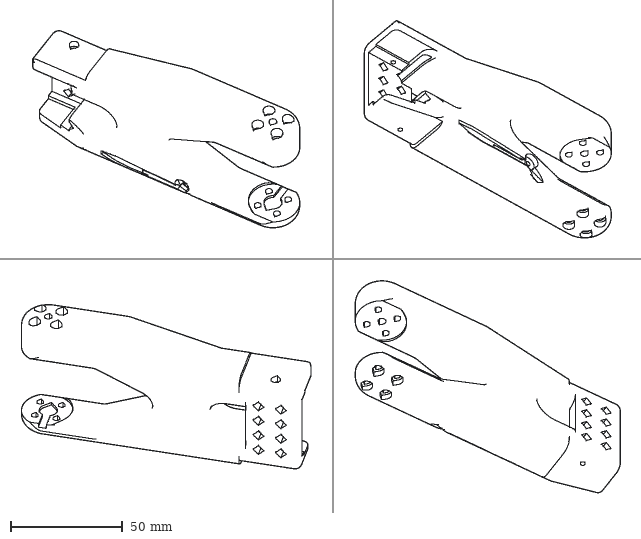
import cadquery as cq
import math

LENGTH = 130.7
WIDTH = 24.0
HEIGHT = 60.0
HALF_WIDTH = WIDTH / 2
EDGE_RADIUS = 5.0
NOSE_X = LENGTH - HALF_WIDTH
OVERSIZE = 2 * LENGTH

ROOF_LOW_Z = 50.0
ROOF_LOW_X = 34.2
ROOF_HIGH_X = 76.5
ROOF_FOLD_ANGLE = 43.2
ROOF_FOLD_RADIUS = 3.9

CLAMP_LENGTH = 28.0
CLAMP_BOTTOM_Z = 2.0
CLAMP_TOP_Z = 48.0
CLAMP_END_RADIUS = 2.9
CAVITY_DEPTH = 19.0
CAVITY_FLOOR_Z = 8.6
CAVITY_CEILING_Z = 41.7
PLATE_INNER_Y = HALF_WIDTH - EDGE_RADIUS
PLATE_LENGTH = 24.8
CEILING_STEP = 1.2
CEILING_STEP_Y = 1.8
FLOOR_POCKET_DEPTH = 2.0
FLOOR_POCKET_LENGTH = 13.9
FLOOR_POCKET_Y = 3.9
SIDE_BEVEL = 6.5

MID_Z = 25.0

SLOT_RADIUS = 8.0
SLOT_END_X = 34.8

FORK_RADIUS = 7.6
FORK_CENTER_X = 76.3
FORK_ANGLE = 24.0
FORK_CORNER_RADIUS = 5.0
UPPER_ARM_Z = 41.5
LOWER_ARM_Z = 8.2

SEAT_RADIUS = 11.0
SEAT_DEPTH = 1.3
SCREW_PITCH = 9.9
SCREW_RADIUS = 3.0 / 2
SCREW_HEAD_RADIUS = 2.6
UPPER_HEAD_DEPTH = 5.2
LOWER_HEAD_DEPTH = 3.1
AXIS_HOLE_RADIUS = 1.7
HUB_RADIUS = 4.0
HUB_DEPTH = 1.3
HUB_CHANNEL_WIDTH = 3.5

DIAMOND_HALF = 2.5
DIAMOND_PITCH = 8.2
DIAMOND_FIRST_Z = 12.2
DIAMOND_ROWS = 4
DIAMOND_COLUMNS = (8.6, CAVITY_DEPTH)

CLAMP_SCREW_X = 12.7
CLAMP_SCREW_Y = 5.1
CLAMP_SCREW_RADIUS = 1.0
CLAMP_HEAD_RADIUS = 2.1
CLAMP_HEAD_DEPTH = 3.3
FLOOR_HOLE_X = 16.7

DISC_X = 78.5
DISC_Z = 6.9
DISC_RADIUS = 3.5
DISC_DEPTH = 2.6
PIN_RADIUS = 1.0
PIN_DEPTH = 5.2
GROOVE_DEPTH = 1.0
GROOVE_FLANK_ANGLE = 32.0
GROOVE_OUTLINE = [(36.7, 7.2), (45.1, 7.8), (74.5, 5.8), (74.5, 3.0), (51.0, 2.4), (43.1, 3.1), (36.7, 5.2)]
CHANNEL_HALF_WIDTH = 1.3
CHANNEL_START = (57.5, 4.2)
CHANNEL_BEND = (76.6, 4.2)
CHANNEL_OUTLET = (87.0, -0.8)
CHANNEL_DEPTH = 2.0
OUTLET_DEPTH = 3.9


def box(x0, x1, y0, y1, z0, z1):
    """Axis-aligned box between two corners."""
    return cq.Workplane("XY").box(x1 - x0, y1 - y0, z1 - z0, centered=False).translate((x0, y0, z0))


def front_prism(points, y0, y1):
    """Polygon of (x, z) points, extruded from y0 to y1."""
    return cq.Workplane("XZ", origin=(0, y1, 0)).polyline(points).close().extrude(y1 - y0)


def teardrop(x, y, radius, z0, z1):
    """Vertical hole with a 45 degree point toward -Y."""
    flank = radius / math.sqrt(2)
    return (
        cq.Workplane("XY", origin=(x, y, z0))
        .moveTo(-flank, -flank)
        .threePointArc((0, radius), (flank, -flank))
        .lineTo(0, -2 * flank)
        .close()
        .extrude(z1 - z0)
    )


def cylinder(x, y, radius, z0, z1):
    """Vertical cylinder."""
    return cq.Workplane("XY", origin=(x, y, z0)).circle(radius).extrude(z1 - z0)


def outer_shell():
    """Long body with a round nose, a skewed sloping roof and rounded long edges."""
    body = (
        cq.Workplane("XY")
        .moveTo(0, -HALF_WIDTH)
        .lineTo(NOSE_X, -HALF_WIDTH)
        .threePointArc((LENGTH, 0), (NOSE_X, HALF_WIDTH))
        .lineTo(0, HALF_WIDTH)
        .close()
        .extrude(HEIGHT)
    )
    angle = math.radians(ROOF_FOLD_ANGLE)
    across_folds = (math.cos(angle), math.sin(angle), 0)
    along_folds = (math.sin(angle), -math.cos(angle), 0)
    fold_plane = cq.Plane(origin=(0, 0, 0), xDir=across_folds, normal=along_folds)
    fold_low = ROOF_LOW_X * math.cos(angle)
    fold_high = ROOF_HIGH_X * math.cos(angle)
    roof_void = (
        cq.Workplane(fold_plane)
        .polyline([
            (-LENGTH, ROOF_LOW_Z),
            (fold_low, ROOF_LOW_Z),
            (fold_high, HEIGHT),
            (-LENGTH, HEIGHT),
        ])
        .close()
        .extrude(LENGTH, both=True)
    )
    body = body.cut(roof_void)
    body = body.faces("<Y or >Y").edges("not |Z").fillet(EDGE_RADIUS)
    high_fold = cq.selectors.NearestToPointSelector((ROOF_HIGH_X, 0, HEIGHT))
    return body.edges(high_fold).fillet(ROOF_FOLD_RADIUS)


def bevel():
    """Wedge cut from the front of the clamp below mid height."""
    return (
        cq.Workplane("XY")
        .polyline([(0, -HALF_WIDTH), (CLAMP_LENGTH, -HALF_WIDTH), (0, SIDE_BEVEL - HALF_WIDTH)])
        .close()
        .extrude(MID_Z)
    )


def clamp_envelope():
    """Limits of the clamp end, joined to an open block that leaves the rest of the body alone."""
    lower = box(0, CLAMP_LENGTH, -HALF_WIDTH, HALF_WIDTH, CLAMP_BOTTOM_Z, MID_Z).cut(bevel())
    lower = lower.edges("|X").edges(">Y and <Z").fillet(EDGE_RADIUS)
    lower = lower.faces("<X").edges("not >Z").fillet(CLAMP_END_RADIUS)
    upper = box(0, CLAMP_LENGTH, -HALF_WIDTH, HALF_WIDTH, MID_Z, CLAMP_TOP_Z)
    upper = upper.edges("|X").edges(">Y and >Z").fillet(EDGE_RADIUS)
    upper = upper.faces("<X").edges("not <Z").fillet(CLAMP_END_RADIUS)
    body_limits = box(CLAMP_LENGTH, LENGTH, -HALF_WIDTH, HALF_WIDTH, 0, HEIGHT)
    return lower.union(upper).union(body_limits)


def fork_block():
    """Plain block with the fork cut from its right side and all fork edges rounded."""
    angle = math.radians(FORK_ANGLE)
    apex_x = FORK_CENTER_X - FORK_RADIUS / math.sin(angle)
    upper_corner_x = apex_x + (UPPER_ARM_Z - MID_Z) / math.tan(angle)
    lower_corner_x = apex_x + (MID_Z - LOWER_ARM_Z) / math.tan(angle)
    gap = front_prism(
        [
            (apex_x, MID_Z),
            (upper_corner_x, UPPER_ARM_Z),
            (OVERSIZE, UPPER_ARM_Z),
            (OVERSIZE, LOWER_ARM_Z),
            (lower_corner_x, LOWER_ARM_Z),
        ],
        -HALF_WIDTH,
        HALF_WIDTH,
    )
    gap = gap.edges("|Y").edges("<X").fillet(FORK_RADIUS)
    for corner_x, corner_z in ((upper_corner_x, UPPER_ARM_Z), (lower_corner_x, LOWER_ARM_Z)):
        corner = cq.selectors.NearestToPointSelector((corner_x, 0, corner_z))
        gap = gap.edges("|Y").edges(corner).fillet(FORK_CORNER_RADIUS)
    block = box(-LENGTH, OVERSIZE, -HALF_WIDTH, HALF_WIDTH, -HEIGHT, 2 * HEIGHT).cut(gap)
    front_edge = cq.selectors.NearestToPointSelector((FORK_CENTER_X - FORK_RADIUS, -HALF_WIDTH, MID_Z))
    back_edge = cq.selectors.NearestToPointSelector((FORK_CENTER_X - FORK_RADIUS, HALF_WIDTH, MID_Z))
    block = block.edges(front_edge).fillet(EDGE_RADIUS)
    return block.edges(back_edge).fillet(EDGE_RADIUS)


def mouth_block():
    """Plain block holding the clamp cavity, open to the left and front, and the rounded slot behind it."""
    cavity = box(-LENGTH, CAVITY_DEPTH, -HALF_WIDTH, HALF_WIDTH, -HEIGHT, 2 * HEIGHT)
    slot = (
        cq.Workplane("XZ", origin=(SLOT_END_X, HALF_WIDTH, MID_Z))
        .moveTo(-SLOT_END_X, -SLOT_RADIUS)
        .lineTo(0, -SLOT_RADIUS)
        .threePointArc((SLOT_RADIUS, 0), (0, SLOT_RADIUS))
        .lineTo(-SLOT_END_X, SLOT_RADIUS)
        .close()
        .extrude(WIDTH)
    )
    block = box(0, LENGTH, -HALF_WIDTH, HALF_WIDTH, -HEIGHT, 2 * HEIGHT).cut(cavity).cut(slot)
    slot_end_x = SLOT_END_X + SLOT_RADIUS
    slot_front = cq.selectors.NearestToPointSelector((slot_end_x, -HALF_WIDTH, MID_Z))
    slot_back = cq.selectors.NearestToPointSelector((slot_end_x, HALF_WIDTH, MID_Z))
    mouth_front = cq.selectors.NearestToPointSelector((CAVITY_DEPTH, -HALF_WIDTH, HEIGHT))
    block = block.edges(slot_front + mouth_front).fillet(EDGE_RADIUS)
    block = block.edges(slot_back).fillet(EDGE_RADIUS)

    roof = box(0, LENGTH, -HALF_WIDTH, HALF_WIDTH, CAVITY_CEILING_Z, HEIGHT)
    floor = box(0, LENGTH, -HALF_WIDTH, HALF_WIDTH, 0, CAVITY_FLOOR_Z)
    plate = box(0, PLATE_LENGTH, PLATE_INNER_Y, HALF_WIDTH, 0, HEIGHT)
    step = box(0, CAVITY_DEPTH, CEILING_STEP_Y, HALF_WIDTH, CAVITY_CEILING_Z - CEILING_STEP, HEIGHT)
    return block.union(roof).union(floor).union(plate).union(step)


def clamp_cuts():
    """Floor pocket and the diamond openings with their grooves in the cavity's end."""
    cuts = box(
        0, FLOOR_POCKET_LENGTH, -HALF_WIDTH, FLOOR_POCKET_Y,
        CAVITY_FLOOR_Z - FLOOR_POCKET_DEPTH, CAVITY_FLOOR_Z,
    )
    for x in DIAMOND_COLUMNS:
        for row in range(DIAMOND_ROWS):
            z = DIAMOND_FIRST_Z + row * DIAMOND_PITCH
            corners = [
                (x - DIAMOND_HALF, z),
                (x, z + DIAMOND_HALF),
                (x + DIAMOND_HALF, z),
                (x, z - DIAMOND_HALF),
            ]
            cuts = cuts.union(front_prism(corners, -HALF_WIDTH, HALF_WIDTH))
    return cuts


def clamp_screw_holes():
    """Counterbored hole in the clamp roof and plain hole in the clamp floor."""
    shank = cylinder(CLAMP_SCREW_X, CLAMP_SCREW_Y, CLAMP_SCREW_RADIUS, MID_Z, HEIGHT)
    head = teardrop(CLAMP_SCREW_X, CLAMP_SCREW_Y, CLAMP_HEAD_RADIUS, CLAMP_TOP_Z - CLAMP_HEAD_DEPTH, HEIGHT)
    floor_hole = cylinder(FLOOR_HOLE_X, CLAMP_SCREW_Y, CLAMP_SCREW_RADIUS, 0, MID_Z)
    return shank.union(head).union(floor_hole)


def seat(floor_z, roof_z):
    """Flat seat around the nose axis, open toward the end of the arm."""
    disc = cylinder(NOSE_X, 0, SEAT_RADIUS, floor_z, roof_z)
    return disc.union(box(NOSE_X, LENGTH, -HALF_WIDTH, HALF_WIDTH, floor_z, roof_z))


def arm_end_cuts():
    """Seats, hub recess with its channel, and the screw and axis holes at the arm ends."""
    lower_seat_z = LOWER_ARM_Z - SEAT_DEPTH
    hub_floor_z = lower_seat_z - HUB_DEPTH
    cuts = seat(lower_seat_z, UPPER_ARM_Z + SEAT_DEPTH)
    cuts = cuts.union(teardrop(NOSE_X, 0, HUB_RADIUS, hub_floor_z, LOWER_ARM_Z))
    half_channel = HUB_CHANNEL_WIDTH / 2
    cuts = cuts.union(
        box(NOSE_X - half_channel, NOSE_X + half_channel, 0, HALF_WIDTH, hub_floor_z, LOWER_ARM_Z)
    )
    cuts = cuts.union(teardrop(NOSE_X, 0, AXIS_HOLE_RADIUS, MID_Z, HEIGHT))
    for side_x in (-1, 1):
        for side_y in (-1, 1):
            x = NOSE_X + side_x * SCREW_PITCH / 2
            y = side_y * SCREW_PITCH / 2
            cuts = cuts.union(teardrop(x, y, SCREW_RADIUS, 0, HEIGHT))
            cuts = cuts.union(teardrop(x, y, SCREW_HEAD_RADIUS, HEIGHT - UPPER_HEAD_DEPTH, HEIGHT))
            cuts = cuts.union(teardrop(x, y, SCREW_HEAD_RADIUS, 0, LOWER_HEAD_DEPTH))
    return cuts


def v_channel(start, end, depth):
    """Straight channel with a V bottom, open through the front wall, between two (x, z) points."""
    run_x = end[0] - start[0]
    run_z = end[1] - start[1]
    section = cq.Plane(origin=(start[0], -HALF_WIDTH, start[1]), xDir=(0, 1, 0), normal=(run_x, 0, run_z))
    flank_top = depth - CHANNEL_HALF_WIDTH
    corners = [
        (depth, 0),
        (flank_top, CHANNEL_HALF_WIDTH),
        (-CHANNEL_HALF_WIDTH, CHANNEL_HALF_WIDTH),
        (-CHANNEL_HALF_WIDTH, -CHANNEL_HALF_WIDTH),
        (flank_top, -CHANNEL_HALF_WIDTH),
    ]
    return cq.Workplane(section).polyline(corners).close().extrude(math.hypot(run_x, run_z))


def front_disc(radius, depth):
    """Round pocket into the front wall at the disc centre."""
    return cq.Workplane("XZ", origin=(DISC_X, -HALF_WIDTH, DISC_Z)).circle(radius).extrude(-depth)


def front_wall_cuts():
    """Round recess with a pin hole, the groove leading to it and the channel out through the lower edge."""
    groove = (
        cq.Workplane("XZ", origin=(0, -HALF_WIDTH, 0))
        .polyline(GROOVE_OUTLINE)
        .close()
        .extrude(-GROOVE_DEPTH, taper=GROOVE_FLANK_ANGLE)
    )
    return (
        front_disc(DISC_RADIUS, DISC_DEPTH)
        .union(front_disc(PIN_RADIUS, PIN_DEPTH))
        .union(groove)
        .union(v_channel(CHANNEL_START, CHANNEL_BEND, CHANNEL_DEPTH))
        .union(v_channel(CHANNEL_BEND, CHANNEL_OUTLET, OUTLET_DEPTH))
    )


result = (
    outer_shell()
    .intersect(clamp_envelope())
    .intersect(fork_block())
    .intersect(mouth_block())
    .cut(clamp_cuts())
    .cut(clamp_screw_holes())
    .cut(arm_end_cuts())
    .cut(front_wall_cuts())
)